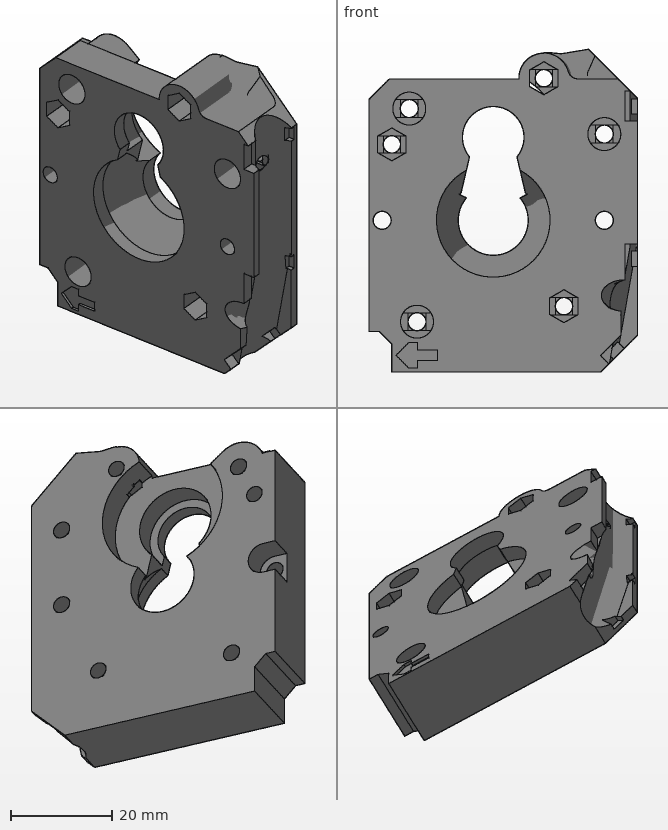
import cadquery as cq
import math


THICKNESS = 14.0
LEFT = -24.55
RIGHT = 28.5
BOTTOM = -29.95
PLATE_TOP = 27.9
PEAK_Z = 33.8
TOP_LEFT_CHAMFER = 4.0
LOWER_RIGHT_CHAMFER = 7.25
SLOPE_START_Z = 24.1
NOTCH_X = -20.1
NOTCH_Z = -22.0
NOTCH_CHAMFER = 2.4

NUT_HOLE_D = 3.4
SCREW_HOLE_D = 3.5
HEAD_D = 6.5
HEAD_DEPTH = 8.9
BRIDGE_STEP = 0.3
TOP_BOSS = (10.0, 28.05)
TOP_BOSS_R = 5.0
NUT_SPOTS = [TOP_BOSS, (-20.0, 15.0), (13.95, -16.95)]
BACK_BOSS = (-16.55, 22.05)
BACK_BOSS_R = 5.5
WEB_ANGLE = 52.0
SCREW_SPOTS = [BACK_BOSS, (21.9, 17.0), (-15.05, -20.0)]
PIN_X = 21.9
SIDE_RECESS_Y = 8.5

BORE_R = 6.9
MOUTH_R = 11.2
MOUTH_DEPTH = 3.05
CONE_END_Y = 10.45
KEY_Z = 16.4
KEY_R = 6.05
KEY_INNER_R = 7.8
NECK_TOP_Z = 12.55
NECK_TOP_HALF = 4.65
NECK_END_Z = 5.2
NECK_END_HALF = 6.4
RECESS_R = 13.05
RECESS_Y = 7.95

CHANNEL_R = 5.6
CHANNEL_X = 30.4
CHANNEL_Y = 7.0
BEND_Z = -5.5
BEND_ANGLE = 10.0
FLAT_OFFSET = 2.15
FRONT_WALL = 2.55
WINDOW_X = 26.0
UPPER_WINDOW_Z = (19.6, 25.5)
LOWER_WINDOW_TOP = -4.7
LOWER_WINDOW_X = 25.2
LOWER_WINDOW_STEP_Z = -14.65
LOWER_WINDOW_CORNER_X = 21.15
TIE_SLOTS = [(20.95, 23.9), (-9.1, -6.05)]
TIE_SLOT_X = 27.3
TIE_SLOT_BACK = 13.1
CORNER_SLOT_SUMS = (-3.7, 0.6)
CORNER_SLOT_DEPTH = 1.85
FINGER_CENTER = (25.95, -14.85)
FINGER_RADII = (4.6, 3.1)
FINGER_DEPTH = 6.05
FINGER_SHIFT = 1.9
FINGER_DROP = 2.55

FILLET_R = 2.0
LEAN_NEAR_BOSS = (-0.1, -1, 0.6)
LEAN_NEAR_SIDE = (0.35, -1, 0.4)
LEAN_SIDE_POINT = (19.5, 11.65, 29.4)

ARROW_TIP = (-19.2, -26.65)
ARROW_HEAD = 2.55
ARROW_SHOULDER_X = -15.0
ARROW_TAIL_X = -10.95
ARROW_SHAFT_HALF = 1.0
ARROW_DEPTH = 0.6

MARGIN = 3.2
DRAFT_DEPTH = THICKNESS + MARGIN


def face_plane(y):
    """Workplane parallel to the front face, at depth y; extrude negative to go deeper."""
    return cq.Workplane("XZ", origin=(0, y, 0))


def prism(points, y_start, y_end):
    return face_plane(y_start).polyline(points).close().extrude(y_start - y_end)


def disc(center, radius, y_start, y_end):
    return face_plane(y_start).center(*center).circle(radius).extrude(y_start - y_end)


def block(x_range, y_range, z_range):
    size = [high - low for low, high in (x_range, y_range, z_range)]
    return cq.Workplane("XY").box(*size, centered=False).translate((x_range[0], y_range[0], z_range[0]))


def make_plate():
    slope_top_x = RIGHT - (PLATE_TOP - SLOPE_START_Z)
    outline = [
        (NOTCH_X, BOTTOM),
        (RIGHT - LOWER_RIGHT_CHAMFER, BOTTOM),
        (RIGHT, BOTTOM + LOWER_RIGHT_CHAMFER),
        (RIGHT, SLOPE_START_Z),
        (slope_top_x, PLATE_TOP),
        (LEFT + TOP_LEFT_CHAMFER, PLATE_TOP),
        (LEFT, PLATE_TOP - TOP_LEFT_CHAMFER),
        (LEFT, NOTCH_Z),
        (NOTCH_X - NOTCH_CHAMFER, NOTCH_Z),
        (NOTCH_X, NOTCH_Z - NOTCH_CHAMFER),
    ]
    return prism(outline, 0, DRAFT_DEPTH)


def make_boss_fillet():
    """Concave corner between the right of the top boss and the plate top."""
    boss_x, boss_z = TOP_BOSS
    center_z = PLATE_TOP + FILLET_R
    reach = TOP_BOSS_R + FILLET_R
    center_x = boss_x + math.sqrt(reach**2 - (center_z - boss_z) ** 2)
    corner = [TOP_BOSS, (center_x, center_z), (center_x, PLATE_TOP), (boss_x, PLATE_TOP)]
    return prism(corner, 0, DRAFT_DEPTH).cut(disc((center_x, center_z), FILLET_R, 0, DRAFT_DEPTH))


def front_of(point, normal):
    """Large block on the side of a plane that the normal points to."""
    reach = 2 * RIGHT
    side = cq.Vector(0, 0, 1).cross(cq.Vector(*normal))
    plane = cq.Plane(origin=point, xDir=side.toTuple(), normal=normal)
    return cq.Workplane(plane).rect(2 * reach, 2 * reach).extrude(reach)


def make_flange():
    """Leaning web at the back, between the top boss and the 45 degree side."""
    side_line = RIGHT + SLOPE_START_Z
    draft_top = PEAK_Z + 2 * MARGIN
    outline = [
        TOP_BOSS,
        (TOP_BOSS[0], draft_top),
        (side_line - draft_top, draft_top),
        (side_line - PLATE_TOP, PLATE_TOP),
        (side_line - PLATE_TOP, PLATE_TOP - FILLET_R),
        (TOP_BOSS[0], PLATE_TOP - FILLET_R),
    ]
    flange = prism(outline, 0, DRAFT_DEPTH)
    flange = flange.cut(front_of((side_line - PEAK_Z, THICKNESS, PEAK_Z), LEAN_NEAR_BOSS))
    return flange.cut(front_of(LEAN_SIDE_POINT, LEAN_NEAR_SIDE))


def blend_flange(solid):
    """Round the foot of the flange along the plate top; the round runs on up the boss."""
    level = 0.05
    foot = cq.selectors.BoxSelector(
        (TOP_BOSS[0] + TOP_BOSS_R, RECESS_Y, PLATE_TOP - level),
        (RIGHT, DRAFT_DEPTH - level, PLATE_TOP + level),
    )
    return solid.edges(foot).fillet(FILLET_R)


def make_back_recess():
    """Round pocket behind the keyhole plus the lowered top left, leaving the back boss."""
    floor_z = PLATE_TOP - TOP_LEFT_CHAMFER
    boss_left = TOP_BOSS[0] - TOP_BOSS_R
    step = block((LEFT, boss_left), (RECESS_Y, THICKNESS), (floor_z, PLATE_TOP))
    step = step.cut(disc(BACK_BOSS, BACK_BOSS_R, RECESS_Y, THICKNESS))
    angle = math.radians(WEB_ANGLE)
    touch_x = BACK_BOSS[0] + BACK_BOSS_R * math.cos(angle)
    touch_z = BACK_BOSS[1] + BACK_BOSS_R * math.sin(angle)
    web_end_x = touch_x + (touch_z - floor_z) * math.tan(angle)
    web = [BACK_BOSS, (touch_x, touch_z), (web_end_x, floor_z)]
    step = step.cut(prism(web, RECESS_Y, THICKNESS))
    return step.union(disc((0, KEY_Z), RECESS_R, RECESS_Y, THICKNESS))


def make_keyhole():
    bore_profile = [
        (0, 0),
        (MOUTH_R, 0),
        (MOUTH_R, MOUTH_DEPTH),
        (BORE_R, CONE_END_Y),
        (BORE_R, THICKNESS),
        (0, THICKNESS),
    ]
    bore = cq.Workplane("XY").polyline(bore_profile).close().revolve(360, (0, 0), (0, 1))
    neck = [
        (-NECK_TOP_HALF, NECK_TOP_Z),
        (NECK_TOP_HALF, NECK_TOP_Z),
        (NECK_END_HALF, NECK_END_Z),
        (-NECK_END_HALF, NECK_END_Z),
    ]
    entry = disc((0, KEY_Z), KEY_R, 0, MOUTH_DEPTH)
    inner = disc((0, KEY_Z), KEY_INNER_R, MOUTH_DEPTH, RECESS_Y)
    return bore.union(prism(neck, 0, RECESS_Y)).union(entry).union(inner)


def make_fastener_hole(center, hole_d, head):
    """Head recess with two bridging steps at its floor and a through hole."""
    x, z = center
    hole_r = hole_d / 2
    first_step = HEAD_DEPTH + BRIDGE_STEP
    second_step = first_step + BRIDGE_STEP
    z_band = (z - hole_r, z + hole_r)
    wide_step = head.translate((0, BRIDGE_STEP, 0)).intersect(
        block((x - HEAD_D, x + HEAD_D), (0, first_step), z_band)
    )
    square_step = block((x - hole_r, x + hole_r), (0, second_step), z_band)
    return head.union(wide_step).union(square_step).union(disc(center, hole_r, 0, THICKNESS))


def nut_head(center):
    hexagon = cq.Workplane("XY").polygon(6, HEAD_D).extrude(HEAD_DEPTH)
    hexagon = hexagon.rotate((0, 0, 0), (0, 0, 1), 30).rotate((0, 0, 0), (1, 0, 0), -90)
    return hexagon.translate((center[0], 0, center[1]))


def make_side_recess():
    """Round recess behind the left pin hole, open to the left side."""
    recess = disc((-PIN_X, 0), HEAD_D / 2, SIDE_RECESS_Y, THICKNESS)
    opening = block((LEFT, -PIN_X), (SIDE_RECESS_Y, THICKNESS), (-HEAD_D / 2, HEAD_D / 2))
    return recess.union(opening)


def make_channel():
    """Vertical cable channel that leans inward below the bend."""
    straight = (
        cq.Workplane("XY", origin=(CHANNEL_X, CHANNEL_Y, BEND_Z))
        .circle(CHANNEL_R)
        .extrude(PEAK_Z - BEND_Z)
    )
    flat_half = math.sqrt(CHANNEL_R**2 - FLAT_OFFSET**2)
    leaning = (
        cq.Workplane("XY")
        .moveTo(3 * CHANNEL_R, flat_half)
        .lineTo(-FLAT_OFFSET, flat_half)
        .threePointArc((-CHANNEL_R, 0), (-FLAT_OFFSET, -flat_half))
        .lineTo(3 * CHANNEL_R, -flat_half)
        .close()
        .extrude(2 * BOTTOM)
        .rotate((0, 0, 0), (0, 1, 0), BEND_ANGLE)
        .translate((CHANNEL_X, CHANNEL_Y, BEND_Z))
    )
    return straight.union(leaning)


def make_channel_windows():
    """Openings in the front wall of the channel and tie slots in its back wall."""
    outer_x = RIGHT + MARGIN
    cuts = block((WINDOW_X, outer_x), (0, FRONT_WALL), UPPER_WINDOW_Z)
    side_z = BOTTOM + LOWER_RIGHT_CHAMFER
    chamfer_line = RIGHT - side_z
    corner_z = side_z - (LOWER_WINDOW_X - LOWER_WINDOW_CORNER_X)
    foot = (chamfer_line - LOWER_WINDOW_CORNER_X + corner_z) / 2
    window = [
        (WINDOW_X, LOWER_WINDOW_TOP),
        (WINDOW_X, LOWER_WINDOW_STEP_Z),
        (LOWER_WINDOW_X, LOWER_WINDOW_STEP_Z),
        (LOWER_WINDOW_X, side_z),
        (LOWER_WINDOW_CORNER_X, corner_z),
        (LOWER_WINDOW_CORNER_X + foot, corner_z - foot),
        (outer_x, side_z),
        (outer_x, LOWER_WINDOW_TOP),
    ]
    cuts = cuts.union(prism(window, 0, FRONT_WALL))
    for slot in TIE_SLOTS:
        cuts = cuts.union(block((TIE_SLOT_X, outer_x), (CHANNEL_Y, TIE_SLOT_BACK), slot))
    low_sum, high_sum = CORNER_SLOT_SUMS
    inner_line = chamfer_line - CORNER_SLOT_DEPTH * math.sqrt(2)
    outer_line = chamfer_line + MARGIN
    corner_slot = [
        ((total + difference) / 2, (total - difference) / 2)
        for total, difference in (
            (low_sum, inner_line),
            (high_sum, inner_line),
            (high_sum, outer_line),
            (low_sum, outer_line),
        )
    ]
    return cuts.union(prism(corner_slot, CHANNEL_Y, TIE_SLOT_BACK))


def make_finger_opening():
    """Slanted oval opening into the channel; its floor drops inward while its top stays level."""
    x, z = FINGER_CENTER
    half_width, half_height = FINGER_RADII
    half_drop = FINGER_DROP / 2
    return (
        face_plane(0)
        .center(x, z)
        .ellipse(half_width, half_height)
        .workplane(offset=-FINGER_DEPTH)
        .center(FINGER_SHIFT, -half_drop)
        .ellipse(half_width, half_height + half_drop)
        .loft(ruled=True)
    )


def make_arrow():
    x, z = ARROW_TIP
    upper = [
        (x + ARROW_HEAD, z + ARROW_HEAD),
        (ARROW_SHOULDER_X, z + ARROW_HEAD),
        (ARROW_SHOULDER_X, z + ARROW_SHAFT_HALF),
        (ARROW_TAIL_X, z + ARROW_SHAFT_HALF),
    ]
    lower = [(px, 2 * z - pz) for px, pz in reversed(upper)]
    return prism([ARROW_TIP] + upper + lower, 0, ARROW_DEPTH)


body = make_plate().union(disc(TOP_BOSS, TOP_BOSS_R, 0, DRAFT_DEPTH)).union(make_boss_fillet())
body = body.union(make_flange())
body = blend_flange(body)
body = body.intersect(block((LEFT, RIGHT), (0, THICKNESS), (BOTTOM, PEAK_Z)))
body = body.cut(make_back_recess())
body = body.cut(make_keyhole())

for spot in NUT_SPOTS:
    body = body.cut(make_fastener_hole(spot, NUT_HOLE_D, nut_head(spot)))
for spot in SCREW_SPOTS:
    body = body.cut(make_fastener_hole(spot, SCREW_HOLE_D, disc(spot, HEAD_D / 2, 0, HEAD_DEPTH)))
for pin_x in (-PIN_X, PIN_X):
    body = body.cut(disc((pin_x, 0), SCREW_HOLE_D / 2, 0, THICKNESS))

body = body.cut(make_side_recess())
body = body.cut(make_channel()).cut(make_channel_windows()).cut(make_finger_opening())
result = body.cut(make_arrow())